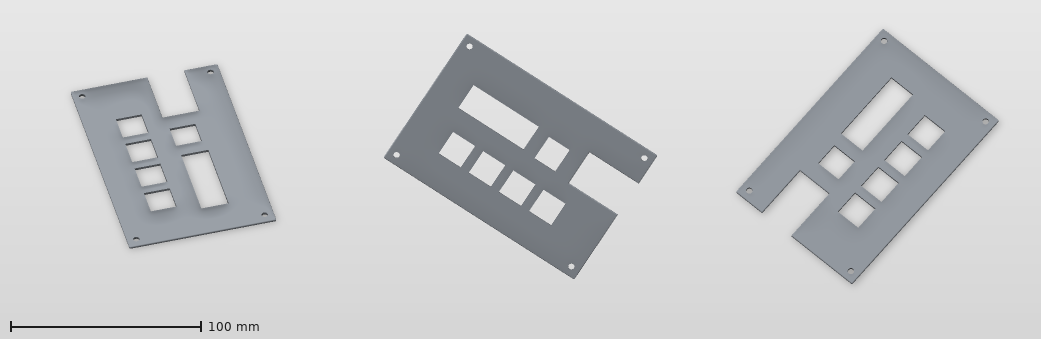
import cadquery as cq

length = 120.0
width = 80.0
thickness = 1.5
corner_radius = 0.6
edge_radius = 0.5

notch_depth = 31.0
notch_width = 20.0
notch_center_y = 11.9

hole_diameter = 3.4
hole_inset = 5.0

button_size = 14.0
button_count = 4
button_pitch = 19.0
first_button_x = -26.9
button_row_y = -15.2

switch_length = 13.2
switch_width = button_size
switch_center = (-13.2, 10.2)

window_length = 41.2
window_width = 14.9
window_center = (21.2, 11.4)


def notched_plate():
    """Plate with the side notch, rounded outer corners, and rounded edges above and below."""
    right = length / 2
    back = width / 2
    notch_end = notch_depth - right
    notch_back = notch_center_y + notch_width / 2
    notch_front = notch_center_y - notch_width / 2
    outline = [
        (-right, -back),
        (right, -back),
        (right, back),
        (-right, back),
        (-right, notch_back),
        (notch_end, notch_back),
        (notch_end, notch_front),
        (-right, notch_front),
    ]
    plate = cq.Workplane("XY").polyline(outline).close().extrude(thickness)
    plate = plate.edges("|Z and (<Y or >Y)").fillet(corner_radius)
    return plate.faces("<Z or >Z").edges().fillet(edge_radius)


def rectangular_openings(plate, centers, size_x, size_y):
    """Cut equal rectangles through the plate."""
    cutter = cq.Workplane("XY").pushPoints(centers).rect(size_x, size_y).extrude(thickness)
    return plate.cut(cutter)


def screw_holes(plate):
    """Drill one hole near each corner."""
    spacing_x = length - 2 * hole_inset
    spacing_y = width - 2 * hole_inset
    cutter = (
        cq.Workplane("XY")
        .rect(spacing_x, spacing_y, forConstruction=True)
        .vertices()
        .circle(hole_diameter / 2)
        .extrude(thickness)
    )
    return plate.cut(cutter)


button_centers = [(first_button_x + i * button_pitch, button_row_y) for i in range(button_count)]

panel = notched_plate()
panel = screw_holes(panel)
panel = rectangular_openings(panel, button_centers, button_size, button_size)
panel = rectangular_openings(panel, [switch_center], switch_length, switch_width)
panel = rectangular_openings(panel, [window_center], window_length, window_width)
result = panel